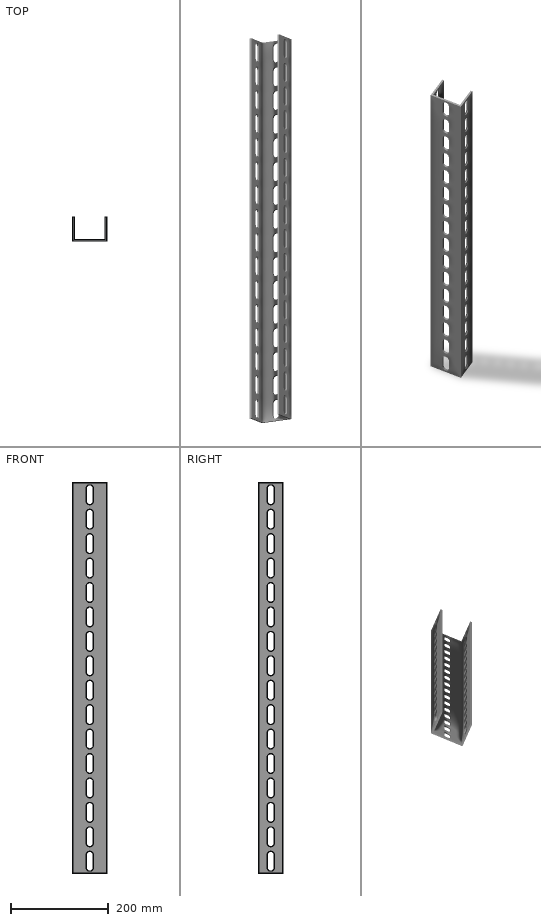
import cadquery as cq

width = 70.0
depth = 50.0
length = 800.0
thickness = 4.0

slot_width = 14.0
slot_length = 40.0
slot_pitch = 50.0
slot_count = round(length / slot_pitch)


def channel():
    """U-shaped bar: web on the -Y side, flanges pointing to +Y."""
    outer = cq.Workplane("XY").box(width, depth, length)
    inner_width = width - 2 * thickness
    cavity = cq.Workplane("XY").box(inner_width, depth, length).translate((0, thickness, 0))
    return outer.cut(cavity)


def slot_row(plane, cut_depth):
    """Row of upright round-ended slots, centred on the origin of the plane."""
    return (
        cq.Workplane(plane)
        .rarray(1, slot_pitch, 1, slot_count)
        .slot2D(slot_length, slot_width, 90)
        .extrude(cut_depth)
    )


web_face = cq.Plane(origin=(0, -depth / 2, 0), xDir=(-1, 0, 0), normal=(0, 1, 0))
web_slots = slot_row(web_face, thickness)

flange_face = cq.Plane(origin=(-width / 2, 0, 0), xDir=(0, 1, 0), normal=(1, 0, 0))
flange_slots = slot_row(flange_face, width)

result = channel().cut(web_slots).cut(flange_slots)